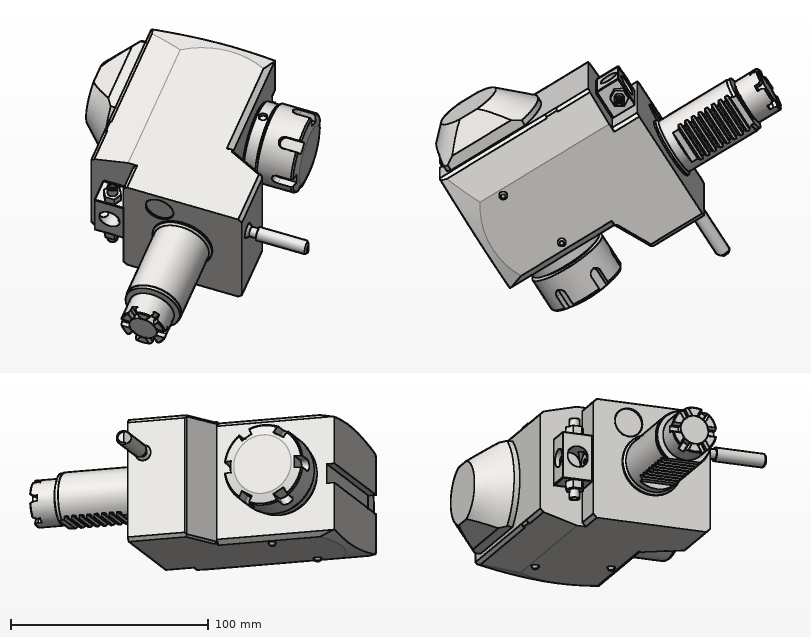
import cadquery as cq
import math


HALF = 32.0
BACK_Y = 104.0
LEFT_X = -55.0
STEP_Y = 15.0
NECK_X = 12.0
NECK_Y = 41.0
FLARE_END = (31.3, 31.3)
FLARE_CORNER_Y = 30.5
EDGE_CHAMFER = 2.0
FLARE_CHAMFER = 1.1
NECK_CHAMFER_X = 3.1
NECK_CHAMFER_Z = 2.3
SLOPE_X = -35.0
SLOPE = math.tan(math.radians(15))
LEFT_CHAMFER = 1.8
PAD_Y = (34.2, 40.8)
PAD_CHAMFER = 1.1
BACK_CONE_X = -10.6
BACK_CONE_Y = 57.5
BACK_CONE_R = 42.5
KEYWAY_WIDTH = 10.1
KEYWAY_DEPTH = 4.0
PLUG_X, PLUG_Z = -12.5, 21.5
PLUG_R = 7.5
PLUG_DEPTH = 1.0
SCREW_POSITIONS = [(-31.6, 80.5), (5.0, 68.5)]
SCREW_R = 2.1
SCREW_TIP_R = 1.1
SCREW_HEIGHT = 1.5
SCREW_ROOT = 3.3

SPINDLE_Y = 75.0
CAP_END_X = -73.5
CAP_RIM_X = -58.0
CAP_R = 32.0
CAP_FACE_R = CAP_R - (CAP_RIM_X - CAP_END_X)
CAP_FLAT_Z = 23.0
CAP_FLAT_END_X = -61.0
CAP_FACE_Z = 15.6
CAP_BACK_FLAT = 24.6
COLLAR_START_X = 12.9
COLLAR_END_X = 19.2
COLLAR_NECK_R = 19.4
COLLAR_R = 20.0
NUT_GROOVE_R = 16.5
NUT_START_X = 20.5
NUT_R = 21.0
NUT_SLOTS = 6
FIRST_NUT_SLOT = 30
NUT_SLOT_WIDTH = 6.0
NUT_SLOT_X = 28.5
NUT_SLOT_FLOOR_R = 17.0
NUT_BEVEL_X = 38.6
NUT_SHOULDER_X = 39.6
NUT_SHOULDER_R = 20.4
NUT_FACE_X = 41.0
NUT_FACE_R = 15.3
COLLAR_HOLE_X = 16.1
COLLAR_HOLE_DIAMETER = 4.4
COLLAR_HOLE_FLOOR_R = 18.0

SHANK_R = 15.0
FLANGE_R = 16.1
FLANGE_THICKNESS = 1.0
FLANGE_TAPER_END = 2.1
SHANK_END = 44.7
SHANK_STEP = 42.9
SHANK_TIP_R = 14.7
SHANK_GROOVE_R = 9.5
SMALL_NUT_START = 45.8
SMALL_NUT_R = 12.0
OVERALL_LENGTH = 163.0
NOSE_END = OVERALL_LENGTH - BACK_Y
SMALL_NUT_CHAMFER = 0.5
SMALL_NUT_FACE_R = 7.5
SMALL_NUT_RECESS = 0.2
SMALL_SLOTS = 6
SMALL_SLOT_WIDTH = 3.1
SMALL_SLOT_MOUTH = 5.2
SMALL_SLOT_DEPTH = 4.0
SMALL_SLOT_FLARE = 2.0
RACK_FLAT_Z = -11.9
RACK_START = 7.0
TOOTH_GAPS = 8
FIRST_GAP = 11.9
LAST_GAP = 40.0
TOOTH_PITCH = (LAST_GAP - FIRST_GAP) / (TOOTH_GAPS - 1)
GAP_OPENING = 3.0
GAP_FLOOR = 1.5
GAP_DEPTH = 1.5

PIN_Y, PIN_Z = 8.3, 13.5
PIN_R = 3.6
PIN_NECK_R = 2.6
PIN_BASE_R = 4.0
PIN_NECK_X = 33.7
PIN_START_X = 37.7
PIN_END_X = 64.9
PIN_CHAMFER = 1.0
PIN_BEVEL = 3.0

BLOCK_X = -48.1
BLOCK_Y = (1.1, 14.2)
BLOCK_HALF_Z = 12.4
BLOCK_NECK_INSET = 0.5
BLOCK_CHAMFER = 0.3
BLOCK_HOLE_X = -40.0
FRONT_HOLE_R = 5.5
FRONT_HOLE_DEPTH = 10.8
SIDE_HOLE_Y = 7.0
SIDE_HOLE_R = 4.7
SIDE_HOLE_DEPTH = 14.3
SIDE_BORE_R = 1.3
SIDE_BORE_DEPTH = 15.6
FITTING_Y = 5.7
HEX_FLATS = 8.2
HEX_HEIGHT = 4.2
NIPPLE_R = 2.6
NIPPLE_TOP_Z = 21.2
NIPPLE_BORE_R = 1.6
NIPPLE_BORE_DEPTH = 2.5
FEED_BORE_R = 0.8
FEED_BORE_DEPTH = 4.9


def box(x, y, z):
    """Axis-aligned box from three (low, high) ranges."""
    size = [high - low for low, high in (x, y, z)]
    return cq.Workplane("XY").box(*size, centered=False).translate((x[0], y[0], z[0]))


def prism_along_y(points, y_range):
    """Extrude an (x, z) outline between two Y values."""
    prism = cq.Workplane("XZ").polyline(points).close().extrude(y_range[0] - y_range[1])
    return prism.translate((0, y_range[0], 0))


def turned_along_x(points, y, z):
    """Revolve an (x, radius) outline about a line parallel to X."""
    outline = [(points[0][0], 0)] + points + [(points[-1][0], 0)]
    return cq.Workplane("XY").polyline(outline).close().revolve(360, (0, 0), (1, 0)).translate((0, y, z))


def turned_along_shank(points):
    """Revolve a (radius, distance from the housing) outline about the Y axis."""
    outline = [(0, points[0][1])] + points + [(0, points[-1][1])]
    return cq.Workplane("XY").polyline([(r, -d) for r, d in outline]).close().revolve(360, (0, 0), (0, 1))


def slope_z(x):
    """Height of the sloped left face at x."""
    return HALF - SLOPE * (SLOPE_X - x)


def both_z(solid):
    """The solid together with its mirror image below Z = 0."""
    return solid.union(solid.mirror("XY"))


def front_block():
    block = box((-HALF, HALF), (0, STEP_Y), (-HALF, HALF))
    return block.edges("|Y").chamfer(EDGE_CHAMFER)


def left_edge_points(chamfer):
    """Upper and lower end of the chamfer at the left edge."""
    x = LEFT_X + chamfer
    return (x, slope_z(x)), (LEFT_X, slope_z(x) - chamfer)


def main_section():
    """(x, z) section behind the front block, symmetric about Z = 0."""
    upper, lower = left_edge_points(LEFT_CHAMFER)
    half = [lower, upper, (SLOPE_X, HALF), (HALF - EDGE_CHAMFER, HALF), (HALF, HALF - EDGE_CHAMFER)]
    return half + [(x, -z) for x, z in reversed(half)]


def back_cut():
    """What the double cone removes from the back edges."""
    flare = HALF / SLOPE
    outline = [(0, 0), (BACK_CONE_R + flare, 0), (BACK_CONE_R, HALF), (0, HALF)]
    cone = cq.Workplane("XZ").polyline(outline).close().revolve(360, (0, 0), (0, 1))
    cone = both_z(cone).translate((BACK_CONE_X, BACK_CONE_Y, 0))
    return box((LEFT_X, NECK_X), (BACK_CONE_Y, BACK_Y), (-HALF, HALF)).cut(cone)


def housing():
    plan = [(LEFT_X, STEP_Y), (HALF, STEP_Y), (HALF, FLARE_CORNER_Y), FLARE_END,
            (NECK_X, NECK_Y), (NECK_X, BACK_Y), (LEFT_X, BACK_Y)]
    rear = cq.Workplane("XY").polyline(plan).close().extrude(HALF, both=True)
    flare_middle = [(a + b) / 2 for a, b in zip(FLARE_END, (NECK_X, NECK_Y))]
    for z in (HALF, -HALF):
        rear = rear.edges(cq.NearestToPointSelector((*flare_middle, z))).chamfer(FLARE_CHAMFER)
    rear = rear.intersect(prism_along_y(main_section(), (STEP_Y, BACK_Y)))

    neck_edge = [(NECK_X - NECK_CHAMFER_X, HALF), (NECK_X, HALF), (NECK_X, HALF - NECK_CHAMFER_Z)]
    rear = rear.cut(both_z(prism_along_y(neck_edge, (NECK_Y, BACK_Y))))
    rear = rear.cut(back_cut())

    upper, lower = left_edge_points(LEFT_CHAMFER)
    pad_top = (LEFT_X + PAD_CHAMFER, slope_z(LEFT_X + PAD_CHAMFER))
    rear = rear.union(both_z(prism_along_y([lower, upper, pad_top], PAD_Y)))

    half_key = KEYWAY_WIDTH / 2
    keyway = box((LEFT_X, NECK_X), (BACK_Y - KEYWAY_DEPTH, BACK_Y), (-half_key, half_key))
    plug = cq.Workplane("XZ").center(PLUG_X, PLUG_Z).circle(PLUG_R).extrude(-PLUG_DEPTH)
    return rear.cut(keyway).union(front_block().cut(plug))


def bottom_screws():
    """Tapered screw tips under the housing, rooted inside it."""
    tip = (cq.Workplane("XZ")
           .polyline([(0, SCREW_ROOT), (SCREW_R, SCREW_ROOT), (SCREW_R, 0),
                      (SCREW_TIP_R, -SCREW_HEIGHT), (0, -SCREW_HEIGHT)])
           .close().revolve(360, (0, 0), (0, 1)))
    screws = cq.Workplane("XY")
    for x, y in SCREW_POSITIONS:
        screws = screws.add(tip.translate((x, y, -HALF)))
    return screws.combine()


def rear_cap():
    """45 degree cone with a sloped flat above and below and a flat towards the back."""
    cone = turned_along_x([(CAP_END_X, CAP_FACE_R), (CAP_RIM_X, CAP_R), (LEFT_X, CAP_R)], SPINDLE_Y, 0)
    half = [(CAP_END_X, CAP_FACE_Z), (CAP_FLAT_END_X, CAP_FLAT_Z), (LEFT_X, CAP_FLAT_Z)]
    section = half + [(x, -z) for x, z in reversed(half)]
    return cone.intersect(prism_along_y(section, (SPINDLE_Y - CAP_R, SPINDLE_Y + CAP_BACK_FLAT)))


def spindle():
    """Collar and slotted collet nut."""
    nut = turned_along_x([
        (NECK_X, COLLAR_NECK_R), (COLLAR_START_X, COLLAR_NECK_R),
        (COLLAR_START_X, COLLAR_R), (COLLAR_END_X, COLLAR_R),
        (COLLAR_END_X, NUT_GROOVE_R), (NUT_START_X, NUT_GROOVE_R),
        (NUT_START_X, NUT_R), (NUT_BEVEL_X, NUT_R),
        (NUT_SHOULDER_X, NUT_SHOULDER_R), (NUT_FACE_X, NUT_FACE_R),
    ], 0, 0)
    half = NUT_SLOT_WIDTH / 2
    slot = cq.Workplane("XY").center(NUT_SLOT_X + half, 0).circle(half).extrude(NUT_R)
    slot = slot.union(box((NUT_SLOT_X + half, NUT_FACE_X), (-half, half), (0, NUT_R)))
    slot = slot.translate((0, 0, NUT_SLOT_FLOOR_R))
    for i in range(NUT_SLOTS):
        nut = nut.cut(slot.rotate((0, 0, 0), (1, 0, 0), FIRST_NUT_SLOT + i * 360 / NUT_SLOTS))
    hole = cq.Workplane("XY").center(COLLAR_HOLE_X, 0).circle(COLLAR_HOLE_DIAMETER / 2).extrude(COLLAR_R)
    return nut.cut(hole.translate((0, 0, COLLAR_HOLE_FLOOR_R))).translate((0, SPINDLE_Y, 0))


def shank():
    """Round shank with a toothed flat underneath."""
    body = turned_along_shank([
        (FLANGE_R, 0), (FLANGE_R, FLANGE_THICKNESS), (SHANK_R, FLANGE_TAPER_END), (SHANK_R, SHANK_STEP),
        (SHANK_TIP_R, SHANK_STEP), (SHANK_TIP_R, SHANK_END),
    ])
    body = body.cut(box((-SHANK_R, SHANK_R), (-SHANK_END, -RACK_START), (-SHANK_R, RACK_FLAT_Z)))
    floor_z = RACK_FLAT_Z + GAP_DEPTH
    gap = (cq.Workplane("YZ")
           .polyline([(-GAP_OPENING / 2, RACK_FLAT_Z), (-GAP_FLOOR / 2, floor_z),
                      (GAP_FLOOR / 2, floor_z), (GAP_OPENING / 2, RACK_FLAT_Z)])
           .close().extrude(SHANK_R, both=True))
    for i in range(TOOTH_GAPS):
        body = body.cut(gap.translate((0, -FIRST_GAP - i * TOOTH_PITCH, 0)))
    return body


def shank_nut():
    """Small slotted nut at the end of the shank."""
    nut = turned_along_shank([
        (SHANK_GROOVE_R, SHANK_END), (SHANK_GROOVE_R, SMALL_NUT_START),
        (SMALL_NUT_R, SMALL_NUT_START), (SMALL_NUT_R, NOSE_END - SMALL_NUT_CHAMFER),
        (SMALL_NUT_R - SMALL_NUT_CHAMFER, NOSE_END),
    ])
    floor_y = SMALL_SLOT_DEPTH - NOSE_END
    flare_y = SMALL_SLOT_FLARE - NOSE_END
    half = SMALL_SLOT_WIDTH / 2
    half_outline = [(floor_y, half), (flare_y, half), (-NOSE_END, SMALL_SLOT_MOUTH / 2)]
    outline = half_outline + [(y, -z) for y, z in reversed(half_outline)]
    slot = cq.Workplane("YZ").polyline(outline).close().extrude(SMALL_NUT_R)
    core = cq.Workplane("XZ").circle(SMALL_NUT_FACE_R).extrude(NOSE_END)
    slot = slot.cut(core)
    for i in range(SMALL_SLOTS):
        nut = nut.cut(slot.rotate((0, 0, 0), (0, 1, 0), i * 360 / SMALL_SLOTS))
    recess = cq.Workplane("XZ").workplane(offset=NOSE_END - SMALL_NUT_RECESS).circle(SMALL_NUT_FACE_R)
    return nut.cut(recess.extrude(SMALL_NUT_RECESS))


def locating_pin():
    pin = turned_along_x([
        (HALF, PIN_BASE_R), (PIN_NECK_X, PIN_NECK_R), (PIN_START_X, PIN_NECK_R),
        (PIN_START_X, PIN_R), (PIN_END_X - PIN_CHAMFER, PIN_R), (PIN_END_X, PIN_R - PIN_CHAMFER),
    ], PIN_Y, PIN_Z)
    side_y = PIN_Y + PIN_R
    bevel = (cq.Workplane("XY").workplane(offset=PIN_Z)
             .polyline([(PIN_END_X - PIN_BEVEL, side_y), (PIN_END_X, side_y),
                        (PIN_END_X, side_y - PIN_BEVEL)])
             .close().extrude(PIN_R, both=True))
    return pin.cut(bevel)


def fitting():
    """Hexagon and hollow nipple on top of the coolant block."""
    across_corners = HEX_FLATS / math.cos(math.radians(30))
    base = cq.Workplane("XY").workplane(offset=BLOCK_HALF_Z).center(BLOCK_HOLE_X, FITTING_Y)
    hexagon = base.polygon(6, across_corners).extrude(HEX_HEIGHT)
    nipple = base.circle(NIPPLE_R).extrude(NIPPLE_TOP_Z - BLOCK_HALF_Z)
    top = hexagon.union(nipple).faces(">Z").workplane()
    bored = top.circle(NIPPLE_BORE_R).cutBlind(-NIPPLE_BORE_DEPTH)
    feed = base.circle(FEED_BORE_R).extrude(FEED_BORE_DEPTH)
    return bored.cut(feed.translate((0, 0, NIPPLE_TOP_Z - BLOCK_HALF_Z - FEED_BORE_DEPTH)))


def coolant_block():
    block = box((BLOCK_X, -HALF), BLOCK_Y, (-BLOCK_HALF_Z, BLOCK_HALF_Z))
    block = block.edges("<X or <Y").chamfer(BLOCK_CHAMFER)
    neck_half = BLOCK_HALF_Z - BLOCK_NECK_INSET
    neck = box((BLOCK_X + BLOCK_NECK_INSET, -HALF), (BLOCK_Y[1], STEP_Y), (-neck_half, neck_half))
    front_hole = cq.Workplane("XZ").center(BLOCK_HOLE_X, 0).circle(FRONT_HOLE_R).extrude(-FRONT_HOLE_DEPTH)
    front_hole = front_hole.translate((0, BLOCK_Y[0], 0))
    side_face = cq.Workplane("YZ").workplane(offset=BLOCK_X).center(SIDE_HOLE_Y, 0)
    side_hole = side_face.circle(SIDE_HOLE_R).extrude(SIDE_HOLE_DEPTH)
    side_hole = side_hole.union(side_face.circle(SIDE_BORE_R).extrude(SIDE_BORE_DEPTH))
    block = block.cut(front_hole).cut(side_hole)
    return block.union(neck).union(both_z(fitting()))


result = housing()
for feature in (bottom_screws, rear_cap, spindle, shank, shank_nut, locating_pin, coolant_block):
    result = result.union(feature())